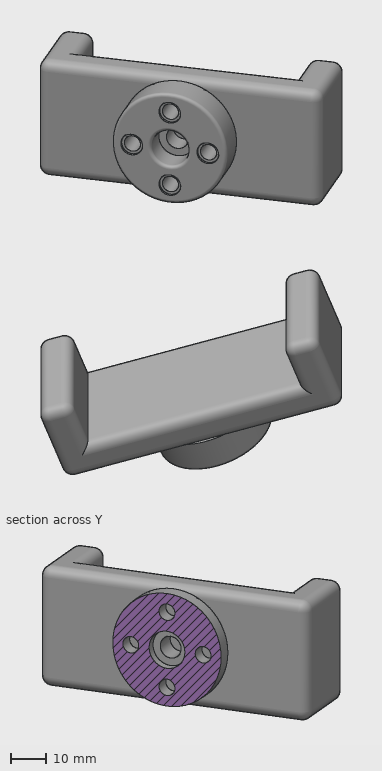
import cadquery as cq

BRACKET_LENGTH = 84.0
BRACKET_DEPTH = 25.0
BRACKET_HEIGHT = 36.0
WALL = 10.0
EDGE_RADIUS = 3.0

BOSS_DIAMETER = 34.0
BOSS_LENGTH = 10.0
BOSS_EDGE_RADIUS = 1.0

CENTER_BORE_DIAMETER = 11.0
CENTER_BORE_DEPTH = 8.0
CENTER_BORE_EDGE_RADIUS = 1.0
CENTER_HOLE_DIAMETER = 6.5
CENTER_HOLE_DEPTH = 15.0

SCREW_HOLE_COUNT = 4
SCREW_CIRCLE_DIAMETER = 22.6
SCREW_HOLE_DIAMETER = 4.8
SCREW_HOLE_DEPTH = 10.0
COUNTERBORE_DIAMETER = 6.4
COUNTERBORE_DEPTH = 0.8

SELECTION_MARGIN = 0.5

BOSS_FACE_Y = -BOSS_LENGTH


def make_bracket():
    """U-shaped body open towards +Y, every edge rounded except the two inner corners."""
    body = cq.Workplane("XY").box(
        BRACKET_LENGTH, BRACKET_DEPTH, BRACKET_HEIGHT, centered=(True, False, True)
    )
    opening_length = BRACKET_LENGTH - 2 * WALL
    opening = cq.Workplane("XY", origin=(0, WALL, 0)).box(
        opening_length, BRACKET_DEPTH - WALL, BRACKET_HEIGHT, centered=(True, False, True)
    )
    inner_corners = cq.selectors.BoxSelector(
        (-opening_length / 2 - SELECTION_MARGIN, WALL - SELECTION_MARGIN, -SELECTION_MARGIN),
        (opening_length / 2 + SELECTION_MARGIN, WALL + SELECTION_MARGIN, SELECTION_MARGIN),
    )
    outer_edges = cq.selectors.InverseSelector(inner_corners)
    return body.cut(opening).edges(outer_edges).fillet(EDGE_RADIUS)


def make_boss():
    """Cylinder standing on the bracket's front face, with a rounded rim at its free end."""
    boss = cq.Workplane("XZ").circle(BOSS_DIAMETER / 2).extrude(BOSS_LENGTH)
    return boss.faces("<Y").edges().fillet(BOSS_EDGE_RADIUS)


def boss_face():
    """Workplane on the boss face; a negative extrusion goes into the part."""
    return cq.Workplane("XZ", origin=(0, BOSS_FACE_Y, 0))


def make_center_hole():
    """Cutter for the stepped central hole."""
    bore = boss_face().circle(CENTER_BORE_DIAMETER / 2).extrude(-CENTER_BORE_DEPTH)
    hole = boss_face().circle(CENTER_HOLE_DIAMETER / 2).extrude(-CENTER_HOLE_DEPTH)
    return bore.union(hole)


def screw_pattern(diameter, depth):
    """Cutter for one cylinder at every screw position."""
    return (
        boss_face()
        .polarArray(SCREW_CIRCLE_DIAMETER / 2, 0, 360, SCREW_HOLE_COUNT)
        .circle(diameter / 2)
        .extrude(-depth)
    )


def round_bore_mouth(part):
    """Round the edge where the central bore meets the boss face."""
    reach = CENTER_BORE_DIAMETER / 2 + SELECTION_MARGIN
    mouth = cq.selectors.BoxSelector(
        (-reach, BOSS_FACE_Y - SELECTION_MARGIN, -reach),
        (reach, BOSS_FACE_Y + SELECTION_MARGIN, reach),
        boundingbox=True,
    )
    return part.edges(mouth).fillet(CENTER_BORE_EDGE_RADIUS)


result = make_bracket().union(make_boss())
result = round_bore_mouth(result.cut(make_center_hole()))
result = result.cut(screw_pattern(SCREW_HOLE_DIAMETER, SCREW_HOLE_DEPTH))
result = result.cut(screw_pattern(COUNTERBORE_DIAMETER, COUNTERBORE_DEPTH))